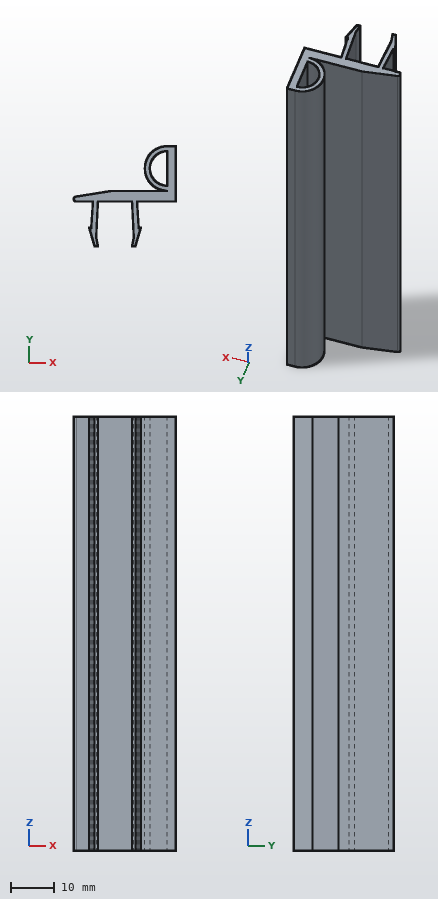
import cadquery as cq
import math

length = 100.0
width = 23.5
wall_height = 12.8
wall_thickness = 2.0
flange_thickness = 2.5

taper_start = -14.8
taper_angle = math.radians(10)
tip_radius = 0.6

bulb_diameter = wall_height - flange_thickness
bulb_radius = bulb_diameter / 2
bulb_thickness = 1.2
bulb_center = (-wall_thickness, flange_thickness + bulb_radius)

clip_center = -14.0
clip_depth = 10.3
root_inner = 3.9
leg_thickness = 1.2
lean = 0.4
barb_reach = 6.0
barb_tip_depth = 5.9
barb_root_depth = 6.1
bend_depth = 8.2
toe_inner = 3.9
toe_thickness = 0.8
root_overlap = 0.5


def extrude_outline(points):
    return cq.Workplane("XY").polyline(points).close().extrude(length)


def make_flange():
    """Flat flange whose sloped lip runs tangentially into a rounded tip."""
    tip_x = -width + tip_radius
    slope_end = (
        tip_x - tip_radius * math.sin(taper_angle),
        tip_radius + tip_radius * math.cos(taper_angle),
    )
    return (
        cq.Workplane("XY")
        .moveTo(0, 0)
        .lineTo(0, flange_thickness)
        .lineTo(taper_start, flange_thickness)
        .lineTo(*slope_end)
        .threePointArc((-width, tip_radius), (tip_x, 0))
        .close()
        .extrude(length)
    )


def make_wall():
    return cq.Workplane("XY").rect(-wall_thickness, wall_height, centered=False).extrude(length)


def half_round(radius):
    """Solid half cylinder bulging from the inner face of the wall."""
    center_x, center_y = bulb_center
    return (
        cq.Workplane("XY")
        .moveTo(center_x, center_y + radius)
        .threePointArc((center_x - radius, center_y), (center_x, center_y - radius))
        .close()
        .extrude(length)
    )


def make_clip_leg(side):
    """Barbed leg leaning outward; side is -1 or 1 across the clip centerline."""
    root_outer = root_inner + leg_thickness
    outline = [
        (root_inner, root_overlap),
        (root_outer, root_overlap),
        (root_outer, 0),
        (root_outer + lean, -barb_root_depth),
        (barb_reach, -barb_tip_depth),
        (toe_inner + toe_thickness, -clip_depth),
        (toe_inner, -clip_depth),
        (root_inner + lean, -bend_depth),
        (root_inner, 0),
    ]
    return extrude_outline([(clip_center + side * offset, y) for offset, y in outline])


bulb = half_round(bulb_radius).cut(half_round(bulb_radius - bulb_thickness))
result = make_flange().union(make_wall()).union(bulb)
for side in (-1, 1):
    result = result.union(make_clip_leg(side))